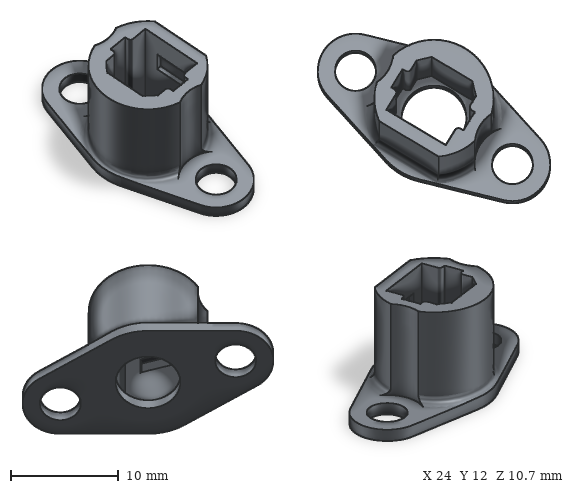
import cadquery as cq
import math

length = 24.0
height = 10.7

flange_thickness = 1.2
flange_middle_radius = 6.0
ear_radius = 3.5
ear_offset = length / 2 - ear_radius
ear_hole_diameter = 3.8

tower_radius = 5.52
tower_flat_y = 4.49
tower_fillet = 0.77

socket_half_width = 3.21
socket_chamfer = 1.0
socket_floor_z = flange_thickness
key_half_width = 3.9
key_y_min = -0.85
key_y_max = 1.18
key_corner_radius = 0.38
bore_diameter = 6.0

latch_half_width = 1.75
latch_depth = 0.5
latch_z_min = 6.21
latch_z_max = 8.23

select_margin = 0.02


def disc(radius, thickness, x=0, z=0):
    return cq.Workplane("XY", origin=(x, 0, z)).circle(radius).extrude(thickness)


def block(x_half, y_min, y_max, z_min, z_max):
    size = (2 * x_half, y_max - y_min, z_max - z_min)
    return cq.Workplane("XY", origin=(0, y_min, z_min)).box(*size, centered=(True, False, False))


def make_flange():
    normal_x = (flange_middle_radius - ear_radius) / ear_offset
    normal_y = math.sqrt(1 - normal_x**2)
    middle_x = flange_middle_radius * normal_x
    middle_y = flange_middle_radius * normal_y
    ear_x = ear_offset + ear_radius * normal_x
    ear_y = ear_radius * normal_y
    return (
        cq.Workplane("XY")
        .moveTo(-middle_x, middle_y)
        .threePointArc((0, flange_middle_radius), (middle_x, middle_y))
        .lineTo(ear_x, ear_y)
        .threePointArc((length / 2, 0), (ear_x, -ear_y))
        .lineTo(middle_x, -middle_y)
        .threePointArc((0, -flange_middle_radius), (-middle_x, -middle_y))
        .lineTo(-ear_x, -ear_y)
        .threePointArc((-length / 2, 0), (-ear_x, ear_y))
        .close()
        .extrude(flange_thickness)
    )


def make_tower(flange):
    plate = disc(length, flange_thickness)
    tower = disc(tower_radius, height)
    tower = tower.cut(block(length, tower_flat_y, length, 0, height))
    tower = plate.union(tower)
    reach = tower_radius + select_margin
    foot_edges = cq.selectors.BoxSelector(
        (-reach, -reach, flange_thickness - select_margin),
        (reach, reach, flange_thickness + select_margin),
        boundingbox=True,
    )
    tower = tower.edges(foot_edges).fillet(tower_fillet)
    outline = flange.faces("<Z").wires().toPending().extrude(height, combine=False)
    return tower.intersect(outline)


def make_socket():
    socket = block(socket_half_width, -socket_half_width, socket_half_width, socket_floor_z, height)
    socket = socket.edges("|Z and <Y").chamfer(socket_chamfer)
    keys = block(key_half_width, key_y_min, key_y_max, socket_floor_z, height)
    socket = socket.union(keys)
    inner_corners = cq.selectors.BoxSelector(
        (-socket_half_width - select_margin, key_y_min - select_margin, 0),
        (socket_half_width + select_margin, key_y_max + select_margin, height),
    )
    return socket.edges("|Z").edges(inner_corners).fillet(key_corner_radius)


flange = make_flange()
result = flange.union(make_tower(flange))

for side in (-1, 1):
    x = side * ear_offset
    result = result.cut(disc(ear_radius, height, x, flange_thickness))
    result = result.cut(disc(ear_hole_diameter / 2, height, x))

result = result.cut(make_socket())
result = result.cut(disc(bore_diameter / 2, height))
result = result.cut(
    block(latch_half_width, 0, socket_half_width + latch_depth, latch_z_min, latch_z_max)
)